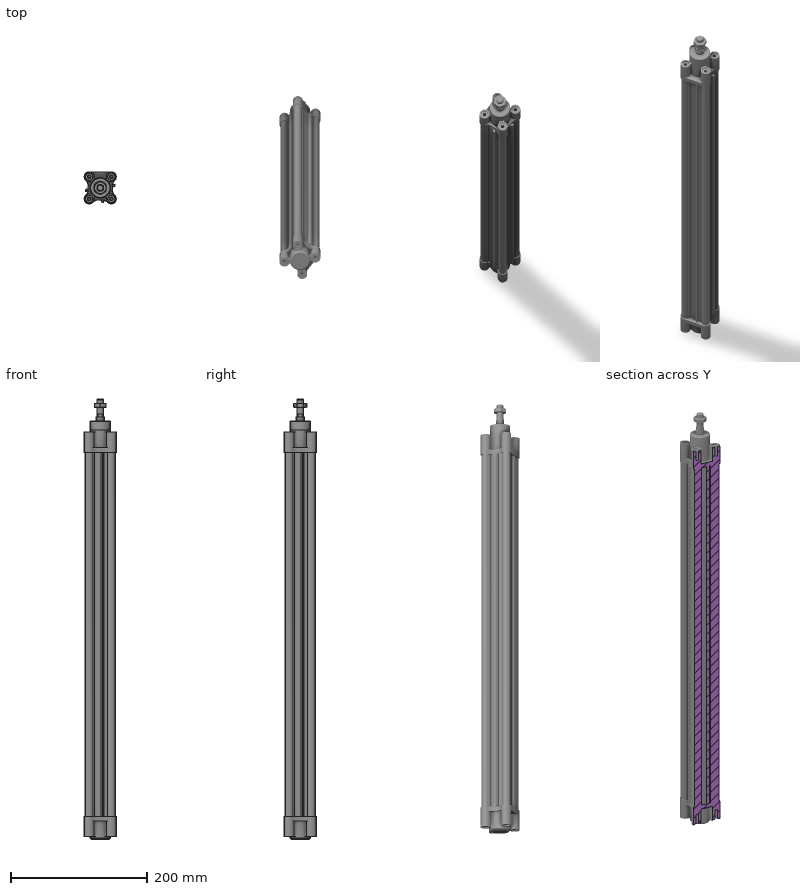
import cadquery as cq
import math


STROKE = 500.0
ZERO_STROKE_LENGTH = 94.0
BODY_LENGTH = STROKE + ZERO_STROKE_LENGTH
REAR_COLLAR_LENGTH = 4.0
FRONT_COLLAR_LENGTH = 16.0
ROD_SHOULDER_HEIGHT = 26.0
THREAD_LENGTH = 22.0
CAP_LENGTH = 30.0
FLANGE_LENGTH = 7.0
COLLAR_STEP_LENGTH = 2.5

REAR_FACE_Z = REAR_COLLAR_LENGTH
FRONT_FACE_Z = REAR_FACE_Z + BODY_LENGTH
ROD_SHOULDER_Z = FRONT_FACE_Z + ROD_SHOULDER_HEIGHT
ROD_END_Z = ROD_SHOULDER_Z + THREAD_LENGTH

CAP_WIDTH = 47.0
HALF_WIDTH = CAP_WIDTH / 2
BOSS_SPACING = 32.5
BOSS_OFFSET = BOSS_SPACING / 2
BOSS_RADIUS = HALF_WIDTH - BOSS_OFFSET
COLLAR_DIAMETER = 30.0
COLLAR_STEP = 0.1
CORE_DIAMETER = COLLAR_DIAMETER - 2 * COLLAR_STEP
CORE_RADIUS = CORE_DIAMETER / 2
BOSS_DISTANCE = math.hypot(BOSS_OFFSET, BOSS_OFFSET)
WEB_FILLET_RADIUS = 1.6
FLANGE_FLAT = 5.8
HOLLOW_REACH = 11.0
FRONT_COLLAR_CHAMFER = 0.8
REAR_COLLAR_CHAMFER = 1.8

BOSS_HOLE_STEPS = ((10.6, 2.0), (4.92, 16.0))

BARREL_RADIUS = 18.2
COLUMN_RADIUS = 6.0
LIP_DISTANCE = 19.0
LEFT_LIP = (-13.0, -8.7)
RIGHT_LIP = (5.8, 10.6)
RIB_FOOT_X = 1.0
RIB_CREST = (3.0, 5.0)
RIB_DISTANCE = 21.8

ROD_DIAMETER = 12.0
THREAD_DIAMETER = 10.0
THREAD_CHAMFER = 1.0
WRENCH_FLATS = 10.0
WRENCH_LENGTH = 4.0
ROD_BORE_DEPTH = CAP_LENGTH
NUT_ACROSS_FLATS = 17.0
NUT_HEIGHT = 6.0
NUT_CHAMFER_HEIGHT = 0.9
NUT_TOP_DROP = 6.0

QUARTER_TURNS = (0, 90, 180, 270)
HOLLOW_SIDE_TURNS = (0, 90, 270)
BOSS_CENTRES = [(sx * BOSS_OFFSET, sy * BOSS_OFFSET) for sx in (-1, 1) for sy in (-1, 1)]


def box_between(x_range, y_range, z_range):
    """Axis-aligned box from its limits on each axis."""
    sizes = [high - low for low, high in (x_range, y_range, z_range)]
    corner = (x_range[0], y_range[0], z_range[0])
    return cq.Workplane("XY").box(*sizes, centered=False).translate(corner)


def round_bar(diameter, z_low, z_high):
    """Round bar on the cylinder axis."""
    return cq.Workplane("XY").workplane(offset=z_low).circle(diameter / 2).extrude(z_high - z_low)


def around_axis(shape):
    """The shape and its copies at every quarter turn about Z."""
    copies = shape
    for angle in QUARTER_TURNS[1:]:
        copies = copies.union(shape.rotate((0, 0, 0), (0, 0, 1), angle))
    return copies


def boss_columns(radius, z_low, z_high):
    """Four round columns on the bolt square."""
    plane = cq.Workplane("XY").workplane(offset=z_low)
    return plane.pushPoints(BOSS_CENTRES).circle(radius).extrude(z_high - z_low)


def make_barrel():
    """Extruded barrel: round core, corner columns, and lips with a sensor rib on each side."""
    z_range = (REAR_FACE_Z + CAP_LENGTH, FRONT_FACE_Z - CAP_LENGTH)
    barrel = round_bar(2 * BARREL_RADIUS, *z_range)
    barrel = barrel.union(boss_columns(COLUMN_RADIUS, *z_range))
    inner_y = -BARREL_RADIUS / 2
    lip_y_range = (-LIP_DISTANCE, inner_y)
    side = box_between(LEFT_LIP, lip_y_range, z_range)
    side = side.union(box_between(RIGHT_LIP, lip_y_range, z_range))
    rib_points = [
        (RIB_FOOT_X, inner_y),
        (RIB_FOOT_X, -BARREL_RADIUS),
        (RIB_CREST[0], -RIB_DISTANCE),
        (RIB_CREST[1], -RIB_DISTANCE),
        (RIB_CREST[1], inner_y),
    ]
    rib_plane = cq.Workplane("XY").workplane(offset=z_range[0])
    rib = rib_plane.polyline(rib_points).close().extrude(z_range[1] - z_range[0])
    side = side.union(rib)
    return barrel.union(around_axis(side))


def make_web(z_low, z_high):
    """Web along +X from the core to a boss, blended into both by concave fillets."""
    core_reach = CORE_RADIUS + WEB_FILLET_RADIUS
    boss_reach = BOSS_RADIUS + WEB_FILLET_RADIUS
    fillet_x = (core_reach**2 + BOSS_DISTANCE**2 - boss_reach**2) / (2 * BOSS_DISTANCE)
    fillet_y = math.sqrt(core_reach**2 - fillet_x**2)
    core_part = CORE_RADIUS / core_reach
    boss_part = BOSS_RADIUS / boss_reach
    core_contact = (fillet_x * core_part, fillet_y * core_part)
    boss_contact = (BOSS_DISTANCE + (fillet_x - BOSS_DISTANCE) * boss_part, fillet_y * boss_part)
    half_outline = [core_contact, boss_contact]
    mirrored_half = [(x, -y) for x, y in reversed(half_outline)]
    outline = [(0, 0), *half_outline, (BOSS_DISTANCE, 0), *mirrored_half]
    web = cq.Workplane("XY").workplane(offset=z_low).polyline(outline).close().extrude(z_high - z_low)
    fillet_bar = round_bar(2 * WEB_FILLET_RADIUS, z_low, z_high)
    for y in (-fillet_y, fillet_y):
        web = web.cut(fillet_bar.translate((fillet_x, y, 0)))
    return web


def make_flange(z_low, z_high):
    """Cap flange: hollow sides on -X, +X and -Y that run into the bosses, and a flat side on +Y."""
    z_range = (z_low, z_high)
    boss_range = (-BOSS_OFFSET, BOSS_OFFSET)
    half_flat = FLANGE_FLAT / 2
    contact_sine = (BOSS_OFFSET - HOLLOW_REACH) / BOSS_RADIUS
    contact_cosine = math.sqrt(1 - contact_sine**2)
    contact_distance = BOSS_OFFSET + BOSS_RADIUS * contact_cosine
    arc_radius = (HOLLOW_REACH - half_flat) / contact_sine
    flat_distance = contact_distance + arc_radius * (contact_cosine - 1)
    flange = box_between(boss_range, boss_range, z_range)
    flange = flange.union(box_between(boss_range, (0, HALF_WIDTH), z_range))
    middle_angle = math.asin(contact_sine) / 2
    middle_x = half_flat + arc_radius * math.sin(middle_angle)
    middle_distance = flat_distance + arc_radius * (1 - math.cos(middle_angle))
    side = (
        cq.Workplane("XY")
        .workplane(offset=z_low)
        .moveTo(-HOLLOW_REACH, 0)
        .lineTo(-HOLLOW_REACH, -contact_distance)
        .threePointArc((-middle_x, -middle_distance), (-half_flat, -flat_distance))
        .lineTo(half_flat, -flat_distance)
        .threePointArc((middle_x, -middle_distance), (HOLLOW_REACH, -contact_distance))
        .lineTo(HOLLOW_REACH, 0)
        .close()
        .extrude(z_high - z_low)
    )
    for angle in HOLLOW_SIDE_TURNS:
        flange = flange.union(side.rotate((0, 0, 0), (0, 0, 1), angle))
    return flange


def make_cap(face_z, inward):
    """End cap with its outer face at face_z; inward is the Z direction towards the barrel."""
    inner_z = face_z + inward * CAP_LENGTH
    ledge_z = inner_z - inward * FLANGE_LENGTH
    cap_range = sorted((face_z, inner_z))
    cap = round_bar(CORE_DIAMETER, *cap_range)
    cap = cap.union(boss_columns(BOSS_RADIUS, *cap_range))
    diagonal_web = make_web(*cap_range).rotate((0, 0, 0), (0, 0, 1), 45)
    cap = cap.union(around_axis(diagonal_web))
    cap = cap.union(make_flange(*sorted((ledge_z, inner_z))))
    for diameter, depth in BOSS_HOLE_STEPS:
        cap = cap.cut(boss_columns(diameter / 2, *sorted((face_z, face_z + inward * depth))))
    return cap


def make_body():
    """Barrel, both caps and their collars, with the bore for the rod."""
    body = make_barrel()
    body = body.union(make_cap(REAR_FACE_Z, 1)).union(make_cap(FRONT_FACE_Z, -1))
    rear_collar = round_bar(CORE_DIAMETER, 0, REAR_FACE_Z).faces("<Z").chamfer(REAR_COLLAR_CHAMFER)
    collar_step_z = FRONT_FACE_Z + COLLAR_STEP_LENGTH
    front_collar = round_bar(COLLAR_DIAMETER, collar_step_z, FRONT_FACE_Z + FRONT_COLLAR_LENGTH)
    front_collar = front_collar.faces(">Z").chamfer(FRONT_COLLAR_CHAMFER)
    collar_neck = round_bar(CORE_DIAMETER, FRONT_FACE_Z, collar_step_z)
    body = body.union(rear_collar).union(collar_neck).union(front_collar)
    bore = round_bar(ROD_DIAMETER, FRONT_FACE_Z - ROD_BORE_DEPTH, FRONT_FACE_Z + FRONT_COLLAR_LENGTH)
    return body.cut(bore)


def make_rod():
    """Piston rod with a square wrench section below the threaded end."""
    wrench_z = ROD_SHOULDER_Z - WRENCH_LENGTH
    rod = round_bar(ROD_DIAMETER, FRONT_FACE_Z - ROD_BORE_DEPTH, wrench_z)
    half_flats = WRENCH_FLATS / 2
    flats_range = (-half_flats, half_flats)
    square = box_between(flats_range, flats_range, (wrench_z, ROD_SHOULDER_Z))
    wrench_section = round_bar(ROD_DIAMETER, wrench_z, ROD_SHOULDER_Z).intersect(square)
    thread = round_bar(THREAD_DIAMETER, ROD_SHOULDER_Z, ROD_END_Z).faces(">Z").chamfer(THREAD_CHAMFER)
    return rod.union(wrench_section).union(thread)


def make_nut():
    """Hexagon nut on the rod thread, with two corners along Y and chamfered corner edges."""
    across_corners = NUT_ACROSS_FLATS / math.cos(math.pi / 6)
    nut_top_z = ROD_END_Z - NUT_TOP_DROP
    nut_bottom_z = nut_top_z - NUT_HEIGHT
    plane = cq.Workplane("XY").workplane(offset=nut_bottom_z)
    nut = plane.transformed(rotate=(0, 0, 90)).polygon(6, across_corners).extrude(NUT_HEIGHT)
    corner_chamfer = (across_corners - NUT_ACROSS_FLATS) / 2
    envelope = round_bar(across_corners, nut_bottom_z, nut_top_z)
    nut = nut.intersect(envelope.faces("<Z or >Z").chamfer(NUT_CHAMFER_HEIGHT, corner_chamfer))
    return nut.cut(round_bar(THREAD_DIAMETER, nut_bottom_z, nut_top_z))


body = make_body()
rod = make_rod()
nut = make_nut()

result = cq.Compound.makeCompound([body.val(), rod.val(), nut.val()])